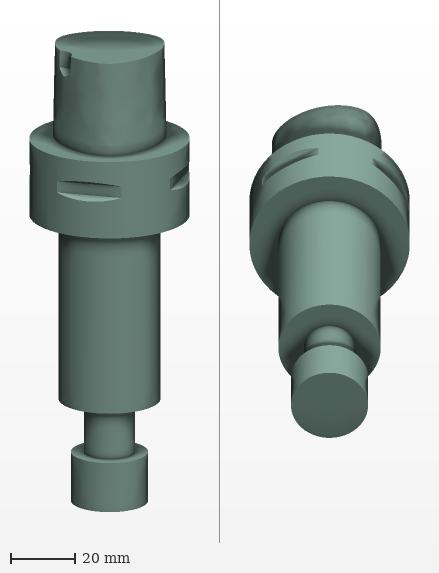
import cadquery as cq
import math

head_length = 16.0
neck_length = 17.4
body_length = 60.1
flange_length = 25.0
shank_length = 30.0

head_diameter = 24.0
neck_diameter = 16.0
body_diameter = 32.0
flange_diameter = 50.0

shank_base_radius = 17.7
shank_top_radius = 17.1
lobe_height = 1.11
shank_straight_length = 3.1
outline_steps = 36

slot_drop = 10.0
slot_floor_distance = 22.7
slot_floor_height = 3.7
slot_wall_angle = 30
slot_count = 4
slot_first_angle = 45

notch_diameter = 8.9
notch_axis_y = -18.4
notch_depth = 5.5
notch_tip_height = 3.9

neck_bottom = head_length
body_bottom = neck_bottom + neck_length
flange_bottom = body_bottom + body_length
flange_top = flange_bottom + flange_length
part_top = flange_top + shank_length
taper_bottom = flange_top + shank_straight_length


def cylinder(diameter, bottom, length):
    return cq.Workplane("XY").workplane(offset=bottom).circle(diameter / 2).extrude(length)


def lobed_outline(workplane, mean_radius):
    """Add a closed constant-width outline with three lobes, one pointing to +Y."""
    points = []
    for step in range(outline_steps):
        turn = 2 * math.pi * step / outline_steps
        along = mean_radius * math.cos(turn) + lobe_height * (2 * math.cos(2 * turn) - math.cos(4 * turn))
        across = mean_radius * math.sin(turn) - lobe_height * (2 * math.sin(2 * turn) + math.sin(4 * turn))
        points.append((-across, along))
    return workplane.spline(points, periodic=True).wire()


def make_shank():
    base = cq.Workplane("XY").workplane(offset=flange_top)
    straight = lobed_outline(base, shank_base_radius).extrude(shank_straight_length)
    taper_start = lobed_outline(cq.Workplane("XY").workplane(offset=taper_bottom), shank_base_radius)
    taper_end = taper_start.workplane(offset=part_top - taper_bottom)
    tapered = lobed_outline(taper_end, shank_top_radius).loft(ruled=True)
    return straight.union(tapered)


def make_slot(angle):
    """Flat-floored slot cutter with flared walls, reaching past the flange rim."""
    outer = flange_diameter / 2 + 1.5
    flare = (outer - slot_floor_distance) * math.tan(math.radians(slot_wall_angle))
    inner_half = slot_floor_height / 2
    outer_half = inner_half + flare
    middle = flange_top - slot_drop
    return (
        cq.Workplane("XZ")
        .moveTo(slot_floor_distance, middle - inner_half)
        .lineTo(outer, middle - outer_half)
        .lineTo(outer, middle + outer_half)
        .lineTo(slot_floor_distance, middle + inner_half)
        .close()
        .extrude(flange_diameter / 2, both=True)
        .rotate((0, 0, 0), (0, 0, 1), angle)
    )


def make_notch():
    """Drill shape: a vertical cylinder ending in a conical tip."""
    shoulder = part_top - notch_depth
    return (
        cq.Workplane("XZ")
        .moveTo(0, shoulder - notch_tip_height)
        .lineTo(notch_diameter / 2, shoulder)
        .lineTo(notch_diameter / 2, part_top)
        .lineTo(0, part_top)
        .close()
        .revolve(360, (0, 0, 0), (0, 1, 0))
        .translate((0, notch_axis_y, 0))
    )


result = (
    cylinder(head_diameter, 0, head_length)
    .union(cylinder(neck_diameter, neck_bottom, neck_length))
    .union(cylinder(body_diameter, body_bottom, body_length))
    .union(cylinder(flange_diameter, flange_bottom, flange_length))
    .union(make_shank())
    .cut(make_notch())
)
for index in range(slot_count):
    result = result.cut(make_slot(slot_first_angle + index * 360 / slot_count))

result = result.translate((0, 0, -part_top / 2))